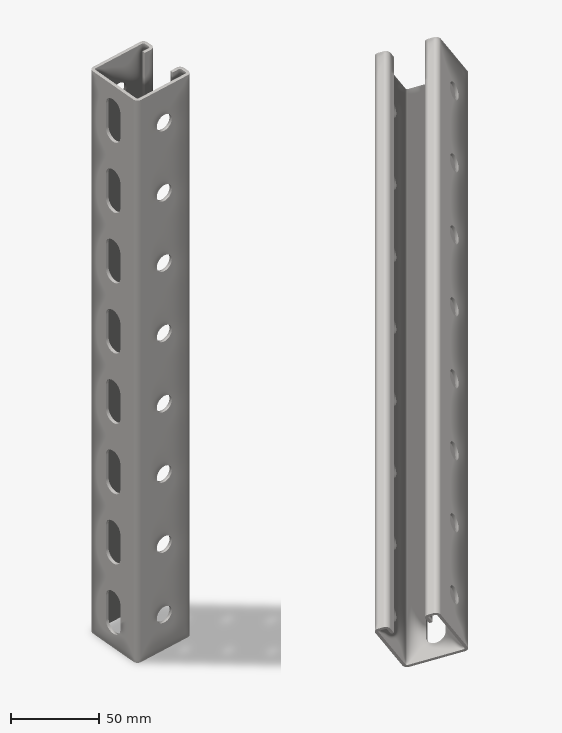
import cadquery as cq

length = 400
wall = 2.0
bend_radius = 3.0
open_bend = 38.0
mouth_width = 22.0
lip_depth = 7.5

depth = open_bend + bend_radius
width = depth

hole_count = 8
slot_width = 12.5
slot_length = 30.0
side_hole_diameter = 11.0

hole_pitch = length / hole_count
hole_heights = [hole_pitch * (i + 0.5) for i in range(hole_count)]


def channel():
    """Bent sheet section: half of its outline is drawn and extruded, then mirrored."""
    half_width = width / 2
    half_mouth = mouth_width / 2
    lip_end = depth - lip_depth
    inner_radius = bend_radius - wall
    side_bend = half_width - bend_radius
    lip_bend = half_mouth + bend_radius

    half = (
        cq.Workplane("XY")
        .lineTo(side_bend, 0)
        .radiusArc((half_width, bend_radius), -bend_radius)
        .lineTo(half_width, open_bend)
        .radiusArc((side_bend, depth), -bend_radius)
        .lineTo(lip_bend, depth)
        .radiusArc((half_mouth, open_bend), -bend_radius)
        .lineTo(half_mouth, lip_end)
        .lineTo(half_mouth + wall, lip_end)
        .lineTo(half_mouth + wall, open_bend)
        .radiusArc((lip_bend, depth - wall), inner_radius)
        .lineTo(side_bend, depth - wall)
        .radiusArc((half_width - wall, open_bend), inner_radius)
        .lineTo(half_width - wall, bend_radius)
        .radiusArc((side_bend, wall), inner_radius)
        .lineTo(0, wall)
        .close()
        .extrude(length)
    )
    return half.union(half.mirror("YZ")).clean()


def back_slots():
    """Upright slots through the back wall, on the channel's centre line."""
    centres = [(0, z) for z in hole_heights]
    return (
        cq.Workplane("XZ")
        .pushPoints(centres)
        .slot2D(slot_length, slot_width, 90)
        .extrude(-depth / 2)
    )


def side_holes():
    """Round holes through both side walls, halfway along the depth."""
    centres = [(depth / 2, z) for z in hole_heights]
    return (
        cq.Workplane("YZ")
        .pushPoints(centres)
        .circle(side_hole_diameter / 2)
        .extrude(width / 2, both=True)
    )


result = channel().cut(back_slots()).cut(side_holes())